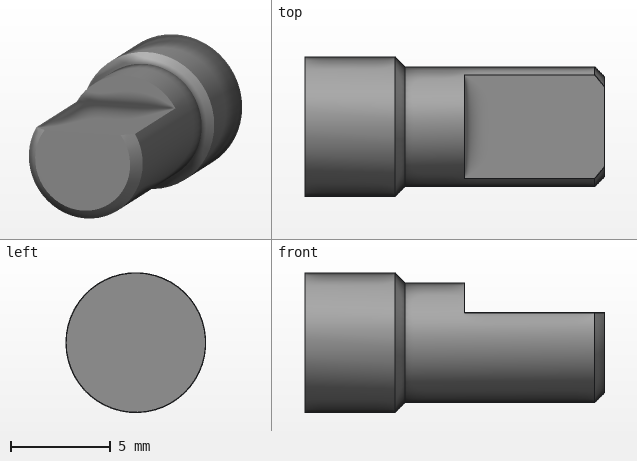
import cadquery as cq

total_length = 15.0
head_diameter = 7.0
shank_diameter = 6.0
shoulder_x = 5.0
tip_chamfer = 0.5
flat_start_x = 8.0
flat_height = 1.5

head_radius = head_diameter / 2
shank_radius = shank_diameter / 2
head_bevel = head_radius - shank_radius


def make_turned_body():
    """Head, bevelled shoulder and chamfered shank, revolved about the X axis."""
    half_profile = [
        (0, 0),
        (0, head_radius),
        (shoulder_x - head_bevel, head_radius),
        (shoulder_x, shank_radius),
        (total_length - tip_chamfer, shank_radius),
        (total_length, shank_radius - tip_chamfer),
        (total_length, 0),
    ]
    return cq.Workplane("XY").polyline(half_profile).close().revolve(360, (0, 0, 0), (1, 0, 0))


def make_flat_cutter():
    """Block above the flat, from the step wall to the tip of the shank."""
    return (
        cq.Workplane("XY")
        .box(total_length - flat_start_x, head_diameter, head_radius, centered=(False, True, False))
        .translate((flat_start_x, 0, flat_height))
    )


result = make_turned_body().cut(make_flat_cutter())